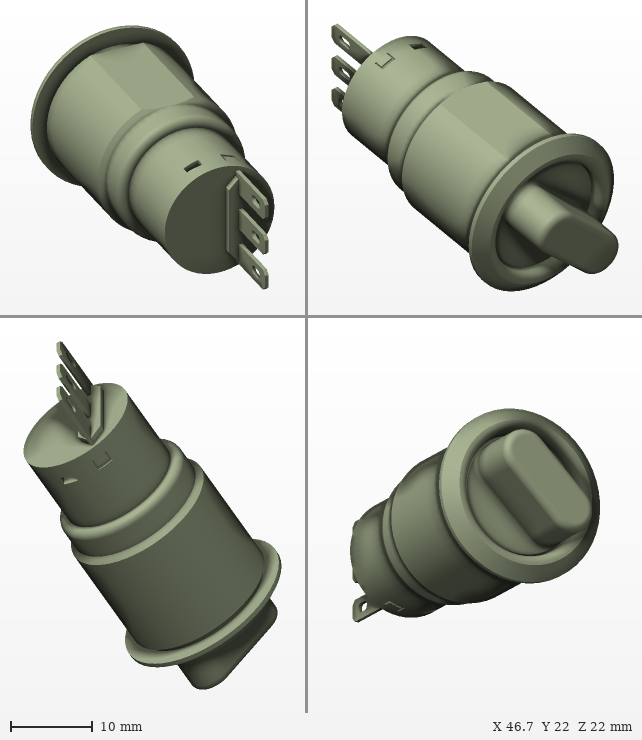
import cadquery as cq
import math

FLANGE_FRONT = 6.5
FLANGE_RIM_START = 7.85
FLANGE_BACK = 8.45
THREAD_START = 9.35
THREAD_END = 23.8
SLEEVE_END = 28.3
BARREL_END = 38.5
TERMINAL_END = 46.7

FLANGE_RADIUS = 22.0 / 2
FLANGE_FACE_RADIUS = 9.2
SLEEVE_RADIUS = 17.5 / 2
SLEEVE_END_FILLET = 1.0
THREAD_RADIUS = 9.5
BARREL_RADIUS = 14.9 / 2
FLAT_HEIGHT = 8.8

BORE_RADIUS = 15.6 / 2
BORE_FLOOR = 8.75
BORE_LIP_FILLET = 1.1

DISC_RADIUS = 15.3 / 2
DISC_EDGE_RADIUS = 15.0 / 2
DISC_FRONT = 7.8
GRIP_LENGTH = 14.9
GRIP_WIDTH = 6.0
GRIP_ANGLE = 45.0
GRIP_FACE_FILLET = 1.0
GRIP_ROOT_FILLET = 0.5

WINDOW_START = 35.5
WINDOW_OFFSET = 2.48
WINDOW_WIDTH = 2.0
SLOT_LENGTH = 1.05
SLOT_RAMP_LENGTH = 0.25
SLOT_RAMP_DEPTH = 0.45
LATCH_RECESS_LENGTH = 1.55
LATCH_RECESS_RADIUS = 14.5 / 2
LATCH_START = 35.95
LATCH_WIDTH = 1.6

TERMINAL_Y = 2.48
TERMINAL_PITCH = 5.0
TERMINAL_WIDTH = 2.8
TERMINAL_THICKNESS = 0.5
TERMINAL_CHAMFER = 0.55
EYE_CENTER = 44.15
EYE_LENGTH = 2.3
EYE_WIDTH = 1.15
BLOCK_LENGTH = 0.85
BLOCK_WIDTH = 3.18
BLOCK_TOP = 5.7
BLOCK_BOTTOM = -6.05
BLOCK_SIDE_HALF_HEIGHT = 4.45
BLOCK_BEVEL = 1.25


def disc_at(x, radius, length):
    """Cylinder on the X axis that starts at x."""
    return cq.Workplane("YZ", origin=(x, 0, 0)).circle(radius).extrude(length)


def box_between(x_start, x_end, y_center, y_width, z_start, z_end):
    """Block given by its X and Z limits and its Y centre and width."""
    return cq.Workplane("XY").box(
        x_end - x_start, y_width, z_end - z_start, centered=(False, True, False)
    ).translate((x_start, y_center, z_start))


def make_flange():
    """Conical bezel with a cylindrical rim."""
    profile = [
        (FLANGE_FRONT, 0),
        (FLANGE_FRONT, FLANGE_FACE_RADIUS),
        (FLANGE_RIM_START, FLANGE_RADIUS),
        (FLANGE_BACK, FLANGE_RADIUS),
        (FLANGE_BACK, 0),
    ]
    return cq.Workplane("XY").polyline(profile).close().revolve(360, (0, 0, 0), (1, 0, 0))


def make_threaded_length():
    """Larger sleeve with a 45 degree end chamfer and one flat on top."""
    chamfer = THREAD_RADIUS - SLEEVE_RADIUS
    length = THREAD_END + chamfer - THREAD_START
    thread = disc_at(THREAD_START, THREAD_RADIUS, length).faces(">X").chamfer(chamfer)
    above_flat = box_between(
        THREAD_START, THREAD_START + length, 0, 2 * THREAD_RADIUS, FLAT_HEIGHT, THREAD_RADIUS
    )
    return thread.cut(above_flat)


def make_knob_recess():
    """Bore for the knob disc, with a rounded lip that flares out to the flange face."""
    lip_radius = BORE_RADIUS + BORE_LIP_FILLET
    half = math.sqrt(0.5)
    lip_middle = (
        FLANGE_FRONT + BORE_LIP_FILLET * (1 - half),
        lip_radius - BORE_LIP_FILLET * half,
    )
    profile = (
        cq.Workplane("XY")
        .moveTo(FLANGE_FRONT, 0)
        .lineTo(FLANGE_FRONT, lip_radius)
        .threePointArc(lip_middle, (FLANGE_FRONT + BORE_LIP_FILLET, BORE_RADIUS))
        .lineTo(BORE_FLOOR, BORE_RADIUS)
        .lineTo(BORE_FLOOR, 0)
        .close()
    )
    return profile.revolve(360, (0, 0, 0), (1, 0, 0))


def make_through_slot():
    """Slot across the barrel, open above and below, with a ramped rear edge at both mouths."""
    back = WINDOW_START + SLOT_LENGTH
    mouth_back = back + SLOT_RAMP_LENGTH
    nearest_y = WINDOW_OFFSET - WINDOW_WIDTH / 2
    ramp_top = math.sqrt(BARREL_RADIUS**2 - nearest_y**2)
    ramp_bottom = ramp_top - SLOT_RAMP_DEPTH
    profile = [
        (WINDOW_START, -BARREL_RADIUS),
        (mouth_back, -BARREL_RADIUS),
        (mouth_back, -ramp_top),
        (back, -ramp_bottom),
        (back, ramp_bottom),
        (mouth_back, ramp_top),
        (mouth_back, BARREL_RADIUS),
        (WINDOW_START, BARREL_RADIUS),
    ]
    return (
        cq.Workplane("XZ", origin=(0, -WINDOW_OFFSET, 0))
        .polyline(profile).close().extrude(WINDOW_WIDTH / 2, both=True)
    )


def make_latch_recesses():
    """Shallow recess in the barrel above and below, each around a latch flush with the barrel."""
    end = WINDOW_START + LATCH_RECESS_LENGTH
    shell = disc_at(WINDOW_START, BARREL_RADIUS, LATCH_RECESS_LENGTH).cut(
        disc_at(WINDOW_START, LATCH_RECESS_RADIUS, LATCH_RECESS_LENGTH)
    )
    window = box_between(
        WINDOW_START, end, WINDOW_OFFSET, WINDOW_WIDTH, -BARREL_RADIUS, BARREL_RADIUS
    )
    latch = box_between(
        LATCH_START, end, WINDOW_OFFSET, LATCH_WIDTH, -BARREL_RADIUS, BARREL_RADIUS
    )
    return shell.intersect(window.cut(latch))


def make_terminal_block():
    """Low bevelled block on the rear face of the barrel."""
    half_width = BLOCK_WIDTH / 2
    half_end = half_width - BLOCK_BEVEL
    outline = [
        (-half_width, -BLOCK_SIDE_HALF_HEIGHT),
        (-half_end, BLOCK_BOTTOM),
        (half_end, BLOCK_BOTTOM),
        (half_width, -BLOCK_SIDE_HALF_HEIGHT),
        (half_width, BLOCK_SIDE_HALF_HEIGHT),
        (half_end, BLOCK_TOP),
        (-half_end, BLOCK_TOP),
        (-half_width, BLOCK_SIDE_HALF_HEIGHT),
    ]
    return (
        cq.Workplane("YZ", origin=(BARREL_END, TERMINAL_Y, 0))
        .polyline(outline).close().extrude(BLOCK_LENGTH)
    )


def make_terminal(z):
    """Flat solder lug with clipped corners and an oblong eye, centred at height z."""
    lug = box_between(
        BARREL_END, TERMINAL_END, TERMINAL_Y, TERMINAL_THICKNESS,
        z - TERMINAL_WIDTH / 2, z + TERMINAL_WIDTH / 2,
    ).edges("|Y and >X").chamfer(TERMINAL_CHAMFER)
    eye = (
        cq.Workplane("XZ", origin=(EYE_CENTER, TERMINAL_Y, z))
        .slot2D(EYE_LENGTH, EYE_WIDTH).extrude(TERMINAL_THICKNESS, both=True)
    )
    return lug.cut(eye)


def make_housing():
    """Flange, sleeve, barrel and terminals as one solid."""
    sleeve = disc_at(FLANGE_BACK, SLEEVE_RADIUS, SLEEVE_END - FLANGE_BACK)
    sleeve = sleeve.faces(">X").edges().fillet(SLEEVE_END_FILLET)
    barrel = disc_at(FLANGE_BACK, BARREL_RADIUS, BARREL_END - FLANGE_BACK)
    barrel = barrel.cut(make_through_slot()).cut(make_latch_recesses())
    body = make_flange().union(sleeve).union(make_threaded_length()).union(barrel)
    body = body.union(make_terminal_block())
    for position in (-1, 0, 1):
        body = body.union(make_terminal(position * TERMINAL_PITCH))
    return body.cut(make_knob_recess())


def make_knob():
    """Disc resting on the bore floor, with the grip set diagonally across it."""
    disc_thickness = BORE_FLOOR - DISC_FRONT
    disc = disc_at(DISC_FRONT, DISC_RADIUS, disc_thickness)
    disc = disc.faces("<X").chamfer(DISC_RADIUS - DISC_EDGE_RADIUS)

    plate = disc_at(DISC_FRONT, DISC_RADIUS + GRIP_ROOT_FILLET, disc_thickness)
    grip = cq.Workplane("YZ").slot2D(GRIP_LENGTH, GRIP_WIDTH, GRIP_ANGLE).extrude(DISC_FRONT)
    knob = plate.union(grip).faces("<X").edges().fillet(GRIP_FACE_FILLET)
    plate_face = knob.faces("|X").faces("<X[1]").val()
    knob = knob.newObject(plate_face.innerWires()).fillet(GRIP_ROOT_FILLET)

    envelope = disc_at(0, DISC_EDGE_RADIUS, BORE_FLOOR).union(disc)
    return knob.intersect(envelope)


housing = make_housing()
knob = make_knob()
result = cq.Compound.makeCompound([housing.val(), knob.val()])